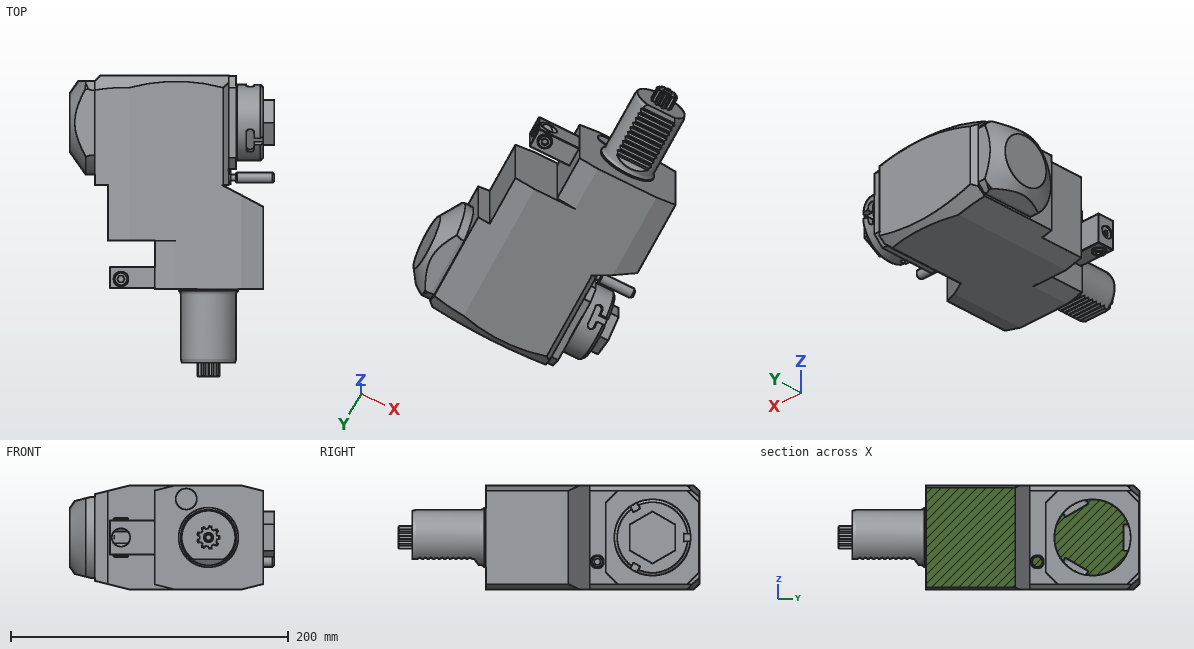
import cadquery as cq
import math


HALF_THICKNESS = 37.5
BEVEL_SLOPE = 0.25
FOOT_LEFT = -38.5
WAIST_LEFT = -72.4
HEAD_LEFT = -81.7
FOOT_RIGHT = 39.5
HEAD_RIGHT = 14.5
FOOT_BEVEL_START = 23.9
HEAD_BEVEL_START = -56.9
HEAD_CHAMFER = 3.9
CHAMFER_SLOPE = 1.0
FOOT_TOP = 35.0
WAIST_TOP = 75.0
HEAD_BACK = 154.0
BACK_CORNER_CHAMFER = 4.0
SHOULDER_INNER_X = 10.0
SHOULDER_OUTER_Y = 59.4

DOME_X = -23.2
DOME_Y = 20.6
DOME_RADIUS = 129.0
DOME_SLOPE = 1.13

SPINDLE_Y = 120.0
CAP_RADIUS = 37.5
CAP_FACE_RADIUS = 21.0
CAP_FACE_X = -100.0
CAP_CONE_X = -88.4
CAP_BACK = 150.0
CAP_HALF_HEIGHT = 29.3
CAP_TAPER_X = -84.4

FLANGE_HALF = 33.5
FLANGE_CHAMFER = 8.3
FLANGE_RIGHT = 20.0
COLLAR_RADIUS = 27.5
COLLAR_RIGHT = 39.5
COLLAR_CHAMFER = 2.1
COLLAR_NECK_RADIUS = 26.8
COLLAR_NECK_LENGTH = 0.8
SLOT_X = 30.0
SLOT_LENGTH = 19.0
SLOT_WIDTH = 5.6
SLOT_DEPTH = 5.0
KEYWAY_WIDTH = 5.6
SLOT_COUNT = 3
FIRST_SLOT_ANGLE = 30.0
NUT_ACROSS_FLATS = 32.5
NUT_RIGHT = 47.5

PIN_Y = 80.3
PIN_Z = -17.5
PIN_RADIUS = 3.8
PIN_NECK_RADIUS = 2.4
PIN_COLLAR_RADIUS = 4.8
PIN_COLLAR_RIGHT = 15.9
PIN_NECK_RIGHT = 19.8
PIN_TIP_CHAMFER = 1.5
PIN_SHOULDER_CHAMFER = 0.8

SHANK_RADIUS = 20.0
SHANK_LENGTH = 53.0
SHANK_TIP_RADIUS = 19.2
SHANK_TIP_TAPER = 2.6
BASE_RADIUS = 21.5
BASE_LENGTH = 1.2
BASE_FILLET_END = 3.9
FLAT_Z = -15.6
FLAT_START = 8.3
FLAT_RUNOUT_ANGLE = 53.0
TOOTH_PITCH = 4.0
TOOTH_COUNT = 10
FIRST_GROOVE = 11.5
GROOVE_WIDTH = 3.4
GROOVE_DEPTH = 1.1

STUB_LENGTH = 10.0
SPLINE_TEETH = 9
SPLINE_OUTER_RADIUS = 8.3
SPLINE_ROOT_RADIUS = 6.3
SPLINE_ROOT_WIDTH = 2.8
SPLINE_TIP_WIDTH = 1.8
SPLINE_CHAMFER = 0.8
CENTRE_RADIUS = 2.2
CENTRE_MOUTH_RADIUS = 3.4
CENTRE_DEPTH = 5.0

BAR_LEFT = -71.0
BAR_BOTTOM = 0.8
BAR_TOP = 16.1
BAR_HALF_HEIGHT = 12.3
BAR_EDGE_CHAMFER = 0.4
BAR_PORT_X = -63.0
BAR_PORT_Y = 7.3
SCREW_RADIUS = 5.4
SCREW_HEIGHT = 1.9
SCREW_CHAMFER = 1.0
SCREW_SOCKET_FLATS = 4.6
SCREW_SOCKET_DEPTH = 3.0
FRONT_PORT_RADIUS = 6.6
FRONT_PORT_MOUTH_HALF = 6.9
FRONT_PORT_FLOOR_HALF = 4.0
FRONT_PORT_DEPTH = 4.5
SIDE_PORT_RADIUS = 5.0
SIDE_PORT_DEPTH = 1.0
SIDE_PORT_BORE_RADIUS = 1.7
SIDE_PORT_BORE_DEPTH = 3.0

RECESS_X = -16.0
RECESS_Z = 27.7
RECESS_RADIUS = 7.6
RECESS_DEPTH = 0.4


def box(x_range, y_range, z_range):
    """Box between the given pairs of limits."""
    sides = [high - low for low, high in (x_range, y_range, z_range)]
    corner = (x_range[0], y_range[0], z_range[0])
    return cq.Workplane("XY").box(*sides, centered=False).translate(corner)


def turned_about_spindle(profile, axis_y=SPINDLE_Y, axis_z=0.0):
    """Revolve (x, radius) points about an axis parallel to X."""
    turned = cq.Workplane("XY").polyline(profile).close().revolve(360, (0, 0, 0), (1, 0, 0))
    return turned.translate((0, axis_y, axis_z))


def turned_about_shank(profile):
    """Revolve (radius, distance below the body) points about the shank axis."""
    points = [(radius, -distance) for radius, distance in profile]
    return cq.Workplane("XY").polyline(points).close().revolve(360, (0, 0, 0), (0, 1, 0))


def bevelled_block(left, left_start, right, right_start, right_slope, bottom, top):
    """Block along Y whose section is bevelled beyond the two start positions."""
    left_z = HALF_THICKNESS - BEVEL_SLOPE * (left_start - left)
    right_z = HALF_THICKNESS - right_slope * (right - right_start)
    section = [
        (left, -left_z), (left_start, -HALF_THICKNESS),
        (right_start, -HALF_THICKNESS), (right, -right_z),
        (right, right_z), (right_start, HALF_THICKNESS),
        (left_start, HALF_THICKNESS), (left, left_z),
    ]
    block = cq.Workplane("XZ").polyline(section).close().extrude(-(top - bottom))
    return block.translate((0, bottom, 0))


def make_dome():
    """Double cone, widest at the mid plane, that trims the back edges."""
    mid_radius = DOME_RADIUS + DOME_SLOPE * HALF_THICKNESS
    profile = [
        (0, -HALF_THICKNESS), (DOME_RADIUS, -HALF_THICKNESS), (mid_radius, 0),
        (DOME_RADIUS, HALF_THICKNESS), (0, HALF_THICKNESS),
    ]
    dome = cq.Workplane("XZ").polyline(profile).close().revolve(360, (0, 0, 0), (0, 1, 0))
    return dome.translate((DOME_X, DOME_Y, 0))


def make_body(dome):
    foot = bevelled_block(
        FOOT_LEFT, -FOOT_BEVEL_START, FOOT_RIGHT, FOOT_BEVEL_START, BEVEL_SLOPE, 0, FOOT_TOP)
    waist = bevelled_block(
        WAIST_LEFT, HEAD_BEVEL_START, FOOT_RIGHT, FOOT_BEVEL_START, BEVEL_SLOPE, FOOT_TOP, WAIST_TOP)
    head = bevelled_block(
        HEAD_LEFT, HEAD_BEVEL_START, HEAD_RIGHT, HEAD_RIGHT - HEAD_CHAMFER, CHAMFER_SLOPE,
        WAIST_TOP, HEAD_BACK)
    shoulder = (
        cq.Workplane("XY").workplane(offset=-HALF_THICKNESS)
        .polyline([
            (SHOULDER_INNER_X, WAIST_TOP), (FOOT_RIGHT, SHOULDER_OUTER_Y), (FOOT_RIGHT, WAIST_TOP),
        ])
        .close().extrude(2 * HALF_THICKNESS)
    )
    corner = (
        cq.Workplane("XY").workplane(offset=-HALF_THICKNESS)
        .polyline([
            (HEAD_LEFT, HEAD_BACK - BACK_CORNER_CHAMFER), (HEAD_LEFT, HEAD_BACK),
            (HEAD_LEFT + BACK_CORNER_CHAMFER, HEAD_BACK),
        ])
        .close().extrude(2 * HALF_THICKNESS)
    )
    head = head.cut(corner).intersect(dome)
    recess = (
        cq.Workplane("XZ").center(RECESS_X, RECESS_Z).circle(RECESS_RADIUS).extrude(-RECESS_DEPTH)
    )
    return head.union(waist.cut(shoulder)).union(foot).cut(recess)


def make_cap(dome):
    """Round spindle cap with a conical nose, two tapering flats and a cut back side."""
    cap = turned_about_spindle([
        (HEAD_LEFT, 0), (HEAD_LEFT, CAP_RADIUS), (CAP_CONE_X, CAP_RADIUS),
        (CAP_FACE_X, CAP_FACE_RADIUS), (CAP_FACE_X, 0),
    ])
    face_half_height = CAP_HALF_HEIGHT - BEVEL_SLOPE * (CAP_TAPER_X - CAP_FACE_X)
    flats = [
        (HEAD_LEFT, -CAP_HALF_HEIGHT), (HEAD_LEFT, CAP_HALF_HEIGHT),
        (CAP_TAPER_X, CAP_HALF_HEIGHT), (CAP_FACE_X, face_half_height),
        (CAP_FACE_X, -face_half_height), (CAP_TAPER_X, -CAP_HALF_HEIGHT),
    ]
    envelope = cq.Workplane("XZ").polyline(flats).close().extrude(-CAP_BACK)
    return cap.intersect(envelope).intersect(dome)


def make_flange():
    flange = box(
        (HEAD_RIGHT, FLANGE_RIGHT),
        (SPINDLE_Y - FLANGE_HALF, SPINDLE_Y + FLANGE_HALF),
        (-FLANGE_HALF, FLANGE_HALF),
    )
    return flange.edges("|X").chamfer(FLANGE_CHAMFER)


def make_collar():
    """Clamping collar with hook slots, each open to the front through a keyway."""
    neck_end = FLANGE_RIGHT + COLLAR_NECK_LENGTH
    collar = turned_about_spindle([
        (FLANGE_RIGHT, 0), (FLANGE_RIGHT, COLLAR_NECK_RADIUS), (neck_end, COLLAR_NECK_RADIUS),
        (neck_end, COLLAR_RADIUS), (COLLAR_RIGHT - COLLAR_CHAMFER, COLLAR_RADIUS),
        (COLLAR_RIGHT, COLLAR_RADIUS - COLLAR_CHAMFER), (COLLAR_RIGHT, 0),
    ])
    floor = cq.Workplane("XY").workplane(offset=COLLAR_RADIUS - SLOT_DEPTH)
    slot = floor.center(SLOT_X, 0).slot2D(SLOT_LENGTH, SLOT_WIDTH, 90).extrude(2 * SLOT_DEPTH)
    keyway = box(
        (SLOT_X, COLLAR_RIGHT),
        (-KEYWAY_WIDTH / 2, KEYWAY_WIDTH / 2),
        (COLLAR_RADIUS - SLOT_DEPTH, COLLAR_RADIUS + SLOT_DEPTH),
    )
    hook_slot = slot.union(keyway)
    for index in range(SLOT_COUNT):
        angle = FIRST_SLOT_ANGLE + index * 360 / SLOT_COUNT
        turned_slot = hook_slot.rotate((0, 0, 0), (1, 0, 0), angle)
        collar = collar.cut(turned_slot.translate((0, SPINDLE_Y, 0)))
    return collar


def make_nut():
    """Hexagon with two flats facing along Y."""
    across_corners = NUT_ACROSS_FLATS / math.cos(math.pi / 6)
    nut = cq.Workplane("YZ").polygon(6, across_corners).extrude(NUT_RIGHT - COLLAR_RIGHT)
    return nut.rotate((0, 0, 0), (1, 0, 0), 90).translate((COLLAR_RIGHT, SPINDLE_Y, 0))


def make_pin():
    profile = [
        (HEAD_RIGHT, 0), (HEAD_RIGHT, PIN_COLLAR_RADIUS), (PIN_COLLAR_RIGHT, PIN_COLLAR_RADIUS),
        (PIN_COLLAR_RIGHT, PIN_NECK_RADIUS), (PIN_NECK_RIGHT, PIN_NECK_RADIUS),
        (PIN_NECK_RIGHT, PIN_RADIUS - PIN_SHOULDER_CHAMFER),
        (PIN_NECK_RIGHT + PIN_SHOULDER_CHAMFER, PIN_RADIUS),
        (NUT_RIGHT - PIN_TIP_CHAMFER, PIN_RADIUS),
        (NUT_RIGHT, PIN_RADIUS - PIN_TIP_CHAMFER), (NUT_RIGHT, 0),
    ]
    return turned_about_spindle(profile, PIN_Y, PIN_Z)


def make_shank():
    """Cylindrical shank with a toothed clamping flat on its -Z side."""
    rise = BASE_RADIUS - SHANK_RADIUS
    run = BASE_FILLET_END - BASE_LENGTH
    fillet_radius = (rise**2 + run**2) / (2 * rise)
    mid_angle = math.asin(run / fillet_radius) / 2
    fillet_middle = (
        SHANK_RADIUS + fillet_radius * (1 - math.cos(mid_angle)),
        fillet_radius * math.sin(mid_angle) - BASE_FILLET_END,
    )
    shank = (
        cq.Workplane("XY").lineTo(BASE_RADIUS, 0).lineTo(BASE_RADIUS, -BASE_LENGTH)
        .threePointArc(fillet_middle, (SHANK_RADIUS, -BASE_FILLET_END))
        .lineTo(SHANK_RADIUS, SHANK_TIP_TAPER - SHANK_LENGTH)
        .lineTo(SHANK_TIP_RADIUS, -SHANK_LENGTH).lineTo(0, -SHANK_LENGTH).close()
        .revolve(360, (0, 0, 0), (0, 1, 0))
    )
    runout = (BASE_RADIUS + FLAT_Z) / math.tan(math.radians(FLAT_RUNOUT_ANGLE))
    below = [
        (-FLAT_START, FLAT_Z), (-FLAT_START + runout, -BASE_RADIUS),
        (-SHANK_LENGTH, -BASE_RADIUS), (-SHANK_LENGTH, FLAT_Z),
    ]
    shank = shank.cut(
        cq.Workplane("YZ").polyline(below).close().extrude(BASE_RADIUS, both=True))
    for index in range(TOOTH_COUNT):
        groove_y = -FIRST_GROOVE - index * TOOTH_PITCH
        groove = [
            (groove_y - GROOVE_WIDTH / 2, FLAT_Z), (groove_y, FLAT_Z + GROOVE_DEPTH),
            (groove_y + GROOVE_WIDTH / 2, FLAT_Z),
        ]
        shank = shank.cut(
            cq.Workplane("YZ").polyline(groove).close().extrude(BASE_RADIUS, both=True))
    return shank


def make_drive_stub():
    """Splined stub with a countersunk centre hole at its end."""
    tip = SHANK_LENGTH + STUB_LENGTH
    stub = turned_about_shank([
        (0, SHANK_LENGTH), (SPLINE_ROOT_RADIUS, SHANK_LENGTH), (SPLINE_ROOT_RADIUS, tip), (0, tip),
    ])
    tooth = (
        cq.Workplane("XZ")
        .polyline([
            (0, -SPLINE_ROOT_WIDTH / 2), (SPLINE_ROOT_RADIUS, -SPLINE_ROOT_WIDTH / 2),
            (SPLINE_OUTER_RADIUS, -SPLINE_TIP_WIDTH / 2), (SPLINE_OUTER_RADIUS, SPLINE_TIP_WIDTH / 2),
            (SPLINE_ROOT_RADIUS, SPLINE_ROOT_WIDTH / 2), (0, SPLINE_ROOT_WIDTH / 2),
        ])
        .close().extrude(STUB_LENGTH).translate((0, -SHANK_LENGTH, 0))
    )
    for index in range(SPLINE_TEETH):
        stub = stub.union(tooth.rotate((0, 0, 0), (0, 1, 0), index * 360 / SPLINE_TEETH))
    envelope = turned_about_shank([
        (0, SHANK_LENGTH), (SPLINE_OUTER_RADIUS, SHANK_LENGTH),
        (SPLINE_OUTER_RADIUS, tip - SPLINE_CHAMFER), (SPLINE_OUTER_RADIUS - SPLINE_CHAMFER, tip),
        (0, tip),
    ])
    countersink = CENTRE_MOUTH_RADIUS - CENTRE_RADIUS
    centre = turned_about_shank([
        (0, tip), (CENTRE_MOUTH_RADIUS, tip), (CENTRE_RADIUS, tip - countersink),
        (CENTRE_RADIUS, tip - CENTRE_DEPTH), (0, tip - CENTRE_DEPTH),
    ])
    return stub.intersect(envelope).cut(centre)


def make_screw():
    """Socket screw head standing on top of the coolant bar."""
    head = (
        cq.Workplane("XY").workplane(offset=BAR_HALF_HEIGHT).center(BAR_PORT_X, BAR_PORT_Y)
        .circle(SCREW_RADIUS).extrude(SCREW_HEIGHT)
        .faces(">Z").chamfer(SCREW_CHAMFER)
    )
    across_corners = SCREW_SOCKET_FLATS / math.cos(math.pi / 6)
    return (
        head.faces(">Z").workplane(origin=(BAR_PORT_X, BAR_PORT_Y, 0))
        .polygon(6, across_corners).cutBlind(-SCREW_SOCKET_DEPTH)
    )


def make_coolant_bar():
    bar = box(
        (BAR_LEFT, FOOT_LEFT), (BAR_BOTTOM, BAR_TOP), (-BAR_HALF_HEIGHT, BAR_HALF_HEIGHT))
    bar = bar.edges("|X or <X").chamfer(BAR_EDGE_CHAMFER)

    floor_y = BAR_BOTTOM + FRONT_PORT_DEPTH
    trough = [
        (BAR_BOTTOM, -FRONT_PORT_MOUTH_HALF), (BAR_BOTTOM, FRONT_PORT_MOUTH_HALF),
        (floor_y, FRONT_PORT_FLOOR_HALF), (floor_y, -FRONT_PORT_FLOOR_HALF),
    ]
    front_port = (
        cq.Workplane("XZ").center(BAR_PORT_X, 0).circle(FRONT_PORT_RADIUS).extrude(-BAR_TOP)
        .intersect(
            cq.Workplane("YZ").workplane(offset=BAR_LEFT).polyline(trough).close()
            .extrude(FOOT_LEFT - BAR_LEFT))
    )

    side_plane = cq.Workplane("YZ", origin=(BAR_LEFT, BAR_PORT_Y, 0))
    side_port = side_plane.circle(SIDE_PORT_RADIUS).extrude(SIDE_PORT_DEPTH)
    side_bore = side_plane.circle(SIDE_PORT_BORE_RADIUS).extrude(SIDE_PORT_BORE_DEPTH)

    screw = make_screw()
    bar = bar.cut(front_port).cut(side_port).cut(side_bore)
    return bar.union(screw).union(screw.mirror("XY"))


dome = make_dome()
result = make_body(dome)
for piece in (
    make_cap(dome), make_flange(), make_collar(), make_nut(), make_pin(),
    make_shank(), make_drive_stub(), make_coolant_bar(),
):
    result = result.union(piece)